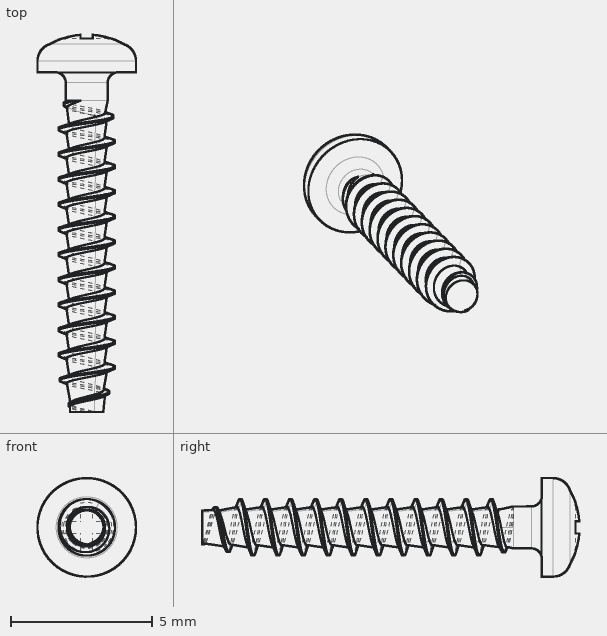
import cadquery as cq
import math


total_length = 13.36
head_height = 1.34
tip_y = head_height - total_length

head_radius = 1.75
rim_height = 0.4
shoulder_height = 1.0
shoulder_radius = 1.32

slot_width = 0.43
slot_depth = 0.13
slot_corner_radius = slot_width / math.sqrt(2)

dome_center_y = (
    head_height**2 + slot_corner_radius**2 - shoulder_height**2 - shoulder_radius**2
) / (2 * (head_height - shoulder_height))
dome_sphere_radius = math.hypot(shoulder_radius, shoulder_height - dome_center_y)

shank_radius = 0.75
shank_length = 1.0
neck_height = 0.36
neck_reach = 0.33
lead_cone_length = 0.8
lead_cone_end_radius = 0.57

length_of_ten_turns = 8.88
pitch = length_of_ten_turns / 10
turn_count = 13
points_per_turn = 24
crest_radius = 1.0
crest_half_width = 0.03
ridge_half_width = 0.13
root_wide_radius = 0.72
root_narrow_radius = 0.63
left_crest_y = -2.0

thread_start_y = -0.83
full_thread_start_y = -1.74
start_crest_radius = 0.75
start_wide_radius = 0.7
full_thread_end_y = -10.75
fade_end_y = tip_y + 0.13
end_crest_radius = 0.6
end_wide_radius = 0.59
end_narrow_radius = 0.57
end_ridge_half_width = 0.05


def make_body():
    """Head, shank and lead cone, revolved about the Y axis."""
    dome_mid_radius = shoulder_radius / 2
    dome_mid = (dome_mid_radius, dome_center_y + math.sqrt(dome_sphere_radius**2 - dome_mid_radius**2))
    profile = (
        cq.Workplane("XY")
        .moveTo(0, -shank_length - lead_cone_length)
        .lineTo(lead_cone_end_radius, -shank_length - lead_cone_length)
        .lineTo(shank_radius, -shank_length)
        .lineTo(shank_radius, -neck_height)
        .tangentArcPoint((shank_radius + neck_reach, 0), relative=False)
        .lineTo(head_radius, 0)
        .lineTo(head_radius, rim_height)
        .tangentArcPoint((shoulder_radius, shoulder_height), relative=False)
        .threePointArc(dome_mid, (0, dome_center_y + dome_sphere_radius))
        .close()
    )
    return profile.revolve(360, (0, 0, 0), (0, 1, 0))


def faded(y, start_value, full_value, end_value):
    """Size along the thread: ramps in from the shank, holds, ramps out at the tip."""
    if y > full_thread_start_y:
        share = (thread_start_y - y) / (thread_start_y - full_thread_start_y)
        return start_value + share * (full_value - start_value)
    share = (full_thread_end_y - y) / (full_thread_end_y - fade_end_y)
    share = min(max(share, 0), 1)
    return full_value + share * (end_value - full_value)


def ridge_reach(y):
    """Distance along Y from the crest to either foot of the ridge."""
    return faded(y, ridge_half_width, ridge_half_width, end_ridge_half_width)


def narrow_root(y):
    """Radius and offset along Y of the ridge foot on the head side."""
    return faded(y, root_narrow_radius, root_narrow_radius, end_narrow_radius), ridge_reach(y)


def crest_top(y):
    """Radius and offset along Y of the crest edge on the head side."""
    return faded(y, start_crest_radius, crest_radius, end_crest_radius), crest_half_width


def crest_bottom(y):
    """Radius and offset along Y of the crest edge on the tip side."""
    return faded(y, start_crest_radius, crest_radius, end_crest_radius), -crest_half_width


def wide_root(y):
    """Radius and offset along Y of the ridge foot on the tip side."""
    return faded(y, start_wide_radius, root_wide_radius, end_wide_radius), -ridge_reach(y)


ridge_corners = [narrow_root, crest_top, crest_bottom, wide_root]


def axis_line(y):
    """Radius and offset along Y of the axis point level with the head-side ridge foot."""
    return 0, ridge_reach(y)


def thread_point(corner, turn):
    """Position of a thread corner after a number of right-handed turns."""
    y = thread_start_y - turn * pitch
    angle = 2 * math.pi * (y - left_crest_y) / pitch
    radius, offset = corner(y)
    return cq.Vector(-radius * math.cos(angle), y + offset, radius * math.sin(angle))


def turn_edge(corner, turn):
    """Helical edge that a thread corner follows during one turn."""
    shares = [i / points_per_turn for i in range(points_per_turn + 1)]
    points = [thread_point(corner, turn + share) for share in shares]
    return cq.Edge.makeSpline(points, parameters=shares)


def make_end_faces(turn):
    """Close one end of the thread: a helical floor of one turn and a flat radial step."""
    axis_edge = cq.Edge.makeLine(thread_point(axis_line, turn), thread_point(axis_line, turn + 1))
    floor = cq.Face.makeRuledSurface(turn_edge(narrow_root, turn), axis_edge)
    step = [thread_point(corner, turn) for corner in [axis_line] + ridge_corners]
    step += [thread_point(narrow_root, turn + 1), thread_point(axis_line, turn + 1)]
    return [floor, cq.Face.makeFromWires(cq.Wire.makePolygon(step, close=True))]


def make_thread():
    """Solid threaded core; each root face runs from one ridge to the head side of the next."""
    faces = make_end_faces(0) + make_end_faces(turn_count)
    for turn in range(turn_count):
        edges = [turn_edge(corner, turn) for corner in ridge_corners]
        edges.append(turn_edge(narrow_root, turn + 1))
        faces += [cq.Face.makeRuledSurface(first, second) for first, second in zip(edges, edges[1:])]
    return cq.Workplane(cq.Solid.makeSolid(cq.Shell.makeShell(faces)).fix())


def make_thread_envelope():
    """Block that trims the thread at the end of the shank and at the flat tip."""
    width = 4 * crest_radius
    length = -shank_length - tip_y
    return cq.Workplane("XY").box(width, length, width).translate((0, tip_y + length / 2, 0))


def make_cross_slots():
    """Two crossing slots of equal depth in the top of the head."""
    slot_length = 2 * head_radius
    slot = cq.Workplane("XY").box(slot_width, 2 * slot_depth, slot_length)
    return slot.union(slot.rotate((0, 0, 0), (0, 1, 0), 90)).translate((0, head_height, 0))


thread = make_thread().intersect(make_thread_envelope())
result = make_body().union(thread).cut(make_cross_slots())